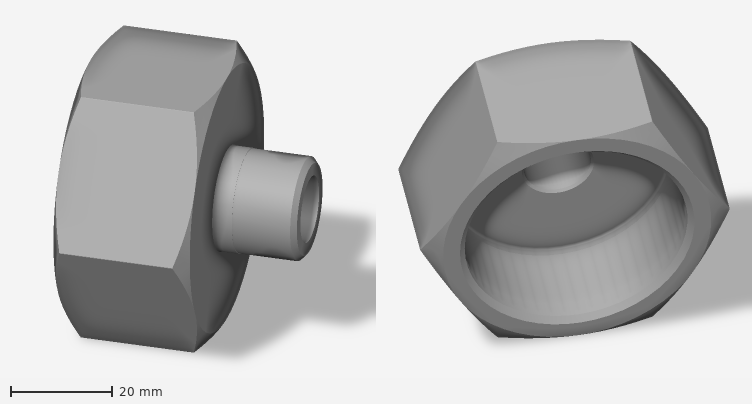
import cadquery as cq
import math

across_corners = 62.25
across_flats = 54.0
hex_sides = 6
hex_length = 28.0
total_length = 45.0

hex_chamfer_angle = 30.0

collar_diameter = 21.15
collar_end = 32.0
collar_root_length = 0.55
collar_root_radius = 1.0
spigot_diameter = 21.0
spigot_chamfer_length = 1.05
spigot_chamfer_depth = 1.2

socket_diameter = 44.8
socket_depth = 20.5
socket_mouth_diameter = 47.2
relief_diameter = 45.0
relief_start = 18.55
floor_fillet = 0.5

hole_diameter = 13.5
hole_chamfer = 0.5


def revolve_about_x(points):
    """Solid of revolution about X from (x, radius) points, closed along the axis."""
    outline = [(points[0][0], 0)] + points + [(points[-1][0], 0)]
    return cq.Workplane("XY").polyline(outline).close().revolve(360, (0, 0, 0), (1, 0, 0))


def make_hexagon():
    """Hexagonal body with flats at +Z and -Z, turned down at its corners and both ends."""
    sharp_corners = across_flats / math.cos(math.radians(180 / hex_sides))
    prism = cq.Workplane("YZ").polygon(hex_sides, sharp_corners).extrude(hex_length)
    corner_radius = across_corners / 2
    face_radius = across_flats / 2
    chamfer_length = (corner_radius - face_radius) * math.tan(math.radians(hex_chamfer_angle))
    turned_blank = revolve_about_x([
        (0, face_radius),
        (chamfer_length, corner_radius),
        (hex_length - chamfer_length, corner_radius),
        (hex_length, face_radius),
    ])
    return prism.intersect(turned_blank)


def make_collar():
    """Collar on the hexagon's +X face, flaring into it along a concave arc tangent to the collar."""
    collar_radius = collar_diameter / 2
    root_rise = collar_root_radius - math.sqrt(collar_root_radius**2 - collar_root_length**2)
    outline = (
        cq.Workplane("XY")
        .moveTo(socket_depth, 0)
        .lineTo(collar_end, 0)
        .lineTo(collar_end, collar_radius)
        .lineTo(hex_length + collar_root_length, collar_radius)
        .tangentArcPoint((hex_length, collar_radius + root_rise), relative=False)
        .lineTo(socket_depth, collar_radius + root_rise)
        .close()
    )
    return outline.revolve(360, (0, 0, 0), (1, 0, 0))


def make_spigot():
    """Spigot beyond the collar, chamfered at its free end."""
    spigot_radius = spigot_diameter / 2
    return revolve_about_x([
        (socket_depth, spigot_radius),
        (total_length - spigot_chamfer_length, spigot_radius),
        (total_length, spigot_radius - spigot_chamfer_depth),
    ])


def make_socket():
    """Socket cavity: chamfered mouth, bore, relief and filleted floor."""
    socket_radius = socket_diameter / 2
    mouth_radius = socket_mouth_diameter / 2
    relief_radius = relief_diameter / 2
    cavity = revolve_about_x([
        (0, mouth_radius),
        (mouth_radius - socket_radius, socket_radius),
        (relief_start, socket_radius),
        (relief_start, relief_radius),
        (socket_depth, relief_radius),
    ])
    return cavity.faces(">X").edges().fillet(floor_fillet)


def make_through_hole():
    """Axial hole from the socket floor to the spigot's end."""
    hole_radius = hole_diameter / 2
    return revolve_about_x([
        (socket_depth, hole_radius + hole_chamfer),
        (socket_depth + hole_chamfer, hole_radius),
        (total_length, hole_radius),
    ])


body = make_hexagon().union(make_collar()).union(make_spigot())
result = body.cut(make_socket()).cut(make_through_hole())